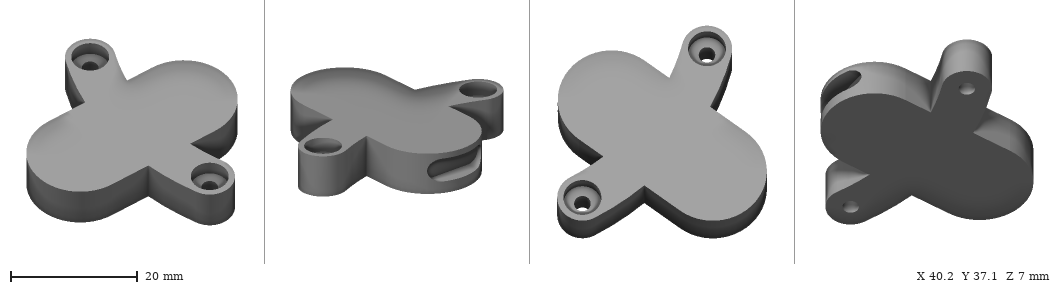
import cadquery as cq
import math

body_length = 37.1
body_width = 17.0
height = 7.0

overall_width = 40.15
ear_radius = 3.97
ear_x = overall_width / 2 - ear_radius
ear_y = 3.5
strap_bend_radius = 40.95

hole_diameter = 2.6
counterbore_diameter = 6.0
counterbore_depth = 2.4

lid_thickness = 1.0
port_width = 11.25
port_height = 3.97
port_depth = 3.0


def make_body():
    return cq.Workplane("XY").slot2D(body_length, body_width, 90).extrude(height)


def make_strap():
    """Strap of constant width along an arc centred on x = 0, with round ends."""
    bend_y = ear_y + math.sqrt(strap_bend_radius**2 - ear_x**2)
    ear_angle = math.asin(ear_x / strap_bend_radius)

    def arc_point(radius, angle):
        return (radius * math.sin(angle), bend_y - radius * math.cos(angle))

    inner_radius = strap_bend_radius - ear_radius
    outer_radius = strap_bend_radius + ear_radius
    tip_offset_x = ear_radius * math.cos(ear_angle)
    tip_offset_y = ear_radius * math.sin(ear_angle)
    return (
        cq.Workplane("XY")
        .moveTo(*arc_point(outer_radius, -ear_angle))
        .threePointArc(arc_point(outer_radius, 0), arc_point(outer_radius, ear_angle))
        .threePointArc((ear_x + tip_offset_x, ear_y + tip_offset_y), arc_point(inner_radius, ear_angle))
        .threePointArc(arc_point(inner_radius, 0), arc_point(inner_radius, -ear_angle))
        .threePointArc((-ear_x - tip_offset_x, ear_y + tip_offset_y), arc_point(outer_radius, -ear_angle))
        .close()
        .extrude(height)
    )


def drill_ears(part):
    return (
        part.faces(">Z")
        .workplane(origin=(0, 0, height))
        .pushPoints([(-ear_x, ear_y), (ear_x, ear_y)])
        .cboreHole(hole_diameter, counterbore_diameter, counterbore_depth)
    )


def make_port():
    """Stadium-shaped pocket running inward from the +Y end."""
    port_z = height - lid_thickness - port_height / 2
    return (
        cq.Workplane("XZ", origin=(0, body_length / 2, port_z))
        .slot2D(port_width, port_height)
        .extrude(port_depth)
    )


result = drill_ears(make_body().union(make_strap())).cut(make_port())